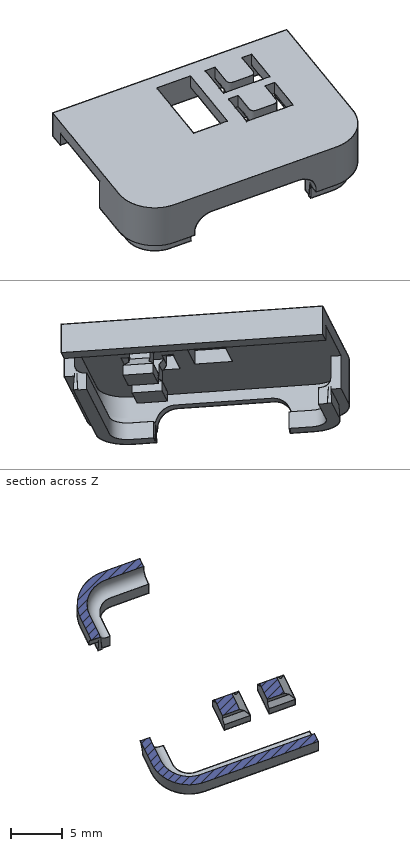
import cadquery as cq
import math

length_x = 17.4
width_y = 25.65
height = 6.3
corner_radius = 3.95

plate_thickness = 1.44
plate_bottom = height - plate_thickness
skirt_bottom = 3.35
wall_bottom = 1.45
ledge_top = 1.72

skirt_thickness = 1.57
wall_thickness = 1.0
lip_inset = 2.2
ledge_fillet = 0.98
notch_end_x = 9.5
wall_arm = 6.18
opening_top = 3.75
opening_fillet = 1.92

bead_width = 0.23
bead_growth = 0.1

tab_pitch = 4.7
tab_count = 2
slot_length = 3.72
slot_width = 5.08
slot_center_y = 5.6
tab_length = 2.75
tab_width = 2.95
tab_corner_radius = 0.5
window_length = 7.5
window_width = 3.7
window_center_y = -0.4

stem_offset = 0.95
stem_inset = 0.5
flare_bottom = 4.34
slant_top = 3.2
foot_chamfer_top = 2.7
foot_top = 2.23
foot_bottom = 1.2

overshoot = 2.57


def block(x_min, x_max, y_min, y_max, z_min, z_max):
    """Box given by its limits along the three axes."""
    size = (x_max - x_min, y_max - y_min, z_max - z_min)
    return cq.Workplane("XY").box(*size, centered=False).translate((x_min, y_min, z_min))


def inset_prism(inset, x_min, z_min, z_max):
    """Prism of the outline moved inward by the inset, with its two +X corners rounded."""
    half_width = width_y / 2 - inset
    prism = block(x_min, length_x - inset, -half_width, half_width, z_min, z_max)
    return prism.edges("|Z and >X").fillet(corner_radius - inset)


def make_shell():
    """Cover plate with skirt, walls, inner ledge and the lip below the walls."""
    shell = inset_prism(0, 0, wall_bottom, height)
    shell = shell.union(inset_prism(wall_thickness, skirt_thickness, 0, ledge_top))

    upper_pocket = inset_prism(wall_thickness, -overshoot, ledge_top, plate_bottom)
    upper_pocket = upper_pocket.faces("<Z").edges("not <X").fillet(ledge_fillet)
    lower_pocket = inset_prism(lip_inset, -overshoot, -overshoot, ledge_top + ledge_fillet)
    inside = block(skirt_thickness, length_x, -width_y / 2, width_y / 2, -overshoot, plate_bottom)
    shell = shell.cut(upper_pocket.union(lower_pocket).intersect(inside))

    below_skirt = block(-overshoot, skirt_thickness, -width_y, width_y, -overshoot, skirt_bottom)
    return shell.cut(below_skirt)


def side_notch():
    """Gap in the -Y wall next to the skirt."""
    return block(skirt_thickness, notch_end_x, -width_y, wall_arm - width_y / 2, -overshoot, plate_bottom)


def end_opening():
    """Wide arched gap in the middle of the +X wall."""
    half_width = width_y / 2 - wall_arm
    x_min = length_x - corner_radius
    opening = block(x_min, length_x + overshoot, -half_width, half_width, -overshoot, opening_top)
    return opening.edges("|X and >Z").fillet(opening_fillet)


def bead_outline(x_start, growth, z):
    """Outline of the -Y bead at one height, grown outward on every side."""
    outer_radius = corner_radius - wall_thickness + growth
    inner_radius = corner_radius - wall_thickness - bead_width - growth
    center_x = length_x - corner_radius
    center_y = corner_radius - width_y / 2
    end_x = x_start - growth
    end_y = wall_arm - width_y / 2 + growth
    diagonal = math.sqrt(0.5)
    return (
        cq.Workplane("XY", origin=(0, 0, z))
        .moveTo(end_x, center_y - outer_radius)
        .lineTo(center_x, center_y - outer_radius)
        .threePointArc(
            (center_x + outer_radius * diagonal, center_y - outer_radius * diagonal),
            (center_x + outer_radius, center_y),
        )
        .lineTo(center_x + outer_radius, end_y)
        .lineTo(center_x + inner_radius, end_y)
        .lineTo(center_x + inner_radius, center_y)
        .threePointArc(
            (center_x + inner_radius * diagonal, center_y - inner_radius * diagonal),
            (center_x, center_y - inner_radius),
        )
        .lineTo(end_x, center_y - inner_radius)
        .close()
        .val()
    )


def bead(x_start):
    """Snap bead along the -Y wall and around its corner, wider at the bottom."""
    bottom = bead_outline(x_start, bead_growth, 0)
    top = bead_outline(x_start, 0, ledge_top)
    return cq.Workplane(cq.Solid.makeLoft([bottom, top], True))


def tab(x_start):
    """Spring tab in the plate with a stem below it that ends in a wider chamfered foot."""
    x_tip = x_start + tab_length
    half_tab = tab_width / 2
    half_stem = half_tab - stem_inset
    side_profile = (
        cq.Workplane("XZ")
        .moveTo(x_start, foot_bottom)
        .lineTo(x_tip, foot_bottom)
        .lineTo(x_tip, height)
        .lineTo(x_start + stem_offset, height)
        .lineTo(x_start + stem_offset, slant_top)
        .lineTo(x_start, foot_top)
        .close()
        .extrude(half_tab, both=True)
    )
    half_outline = [
        (half_tab, foot_bottom),
        (half_tab, foot_top),
        (half_stem, foot_chamfer_top),
        (half_stem, flare_bottom),
        (half_tab, plate_bottom),
        (half_tab, height),
    ]
    mirrored_outline = [(-y, z) for y, z in reversed(half_outline)]
    end_profile = (
        cq.Workplane("YZ")
        .polyline(half_outline + mirrored_outline)
        .close()
        .extrude(x_tip)
    )
    top = block(x_start, x_tip, -half_tab, half_tab, plate_bottom, height)
    rounded = block(0, x_tip, -half_tab, half_tab, foot_chamfer_top, height)
    rounded = rounded.edges("|Z and >X").fillet(tab_corner_radius)
    foot_space = block(0, x_tip, -half_tab, half_tab, 0, foot_chamfer_top)
    tab_body = side_profile.intersect(end_profile).union(top)
    return tab_body.intersect(rounded.union(foot_space)).translate((0, slot_center_y, 0))


def plate_cut(x_start, size_x, center_y, size_y):
    """Rectangular hole through the plate."""
    return block(x_start, x_start + size_x, center_y - size_y / 2, center_y + size_y / 2, plate_bottom, height)


result = make_shell().cut(side_notch()).cut(end_opening())
result = result.union(bead(notch_end_x)).union(bead(skirt_thickness).mirror("XZ"))
result = result.cut(plate_cut(skirt_thickness, window_length, window_center_y, window_width))
for index in range(tab_count):
    tab_x = skirt_thickness + index * tab_pitch
    result = result.cut(plate_cut(tab_x, slot_length, slot_center_y, slot_width)).union(tab(tab_x))